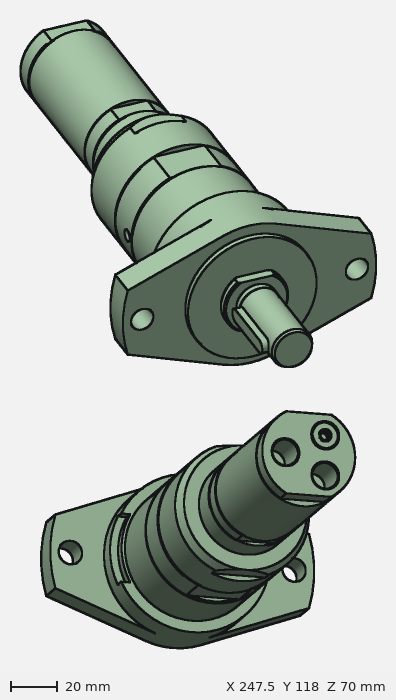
import cadquery as cq
import math


port_collar_end = 9.2
handle_end = 69.3
wrench_neck_end = 78.5
nut_start = 93.3
nut_chamfer_end = 98.3
nut_flats_end = 103.2
clamp_start = 123.5
clamp_end = 141.3
flange_start = 172.3
ear_start = 186.4
flange_end = 200.0
pilot_end = 203.0
lock_ring_end = 207.7
shaft_seat_end = 210.9
shaft_end = 247.5

handle_diameter = 41.5
body_diameter = 60.0
nut_front_diameter = 55.0
flange_diameter = 70.0
lock_ring_diameter = 30.0
shaft_seat_diameter = 19.0
shaft_diameter = 18.8

port_collar_flats = 36.5
wrench_neck_flats = 37.9
body_flats = 55.0
lock_ring_flats = 24.5

bevel_length = 0.7
shallow_bevel_depth = 0.2
body_bevel_depth = 0.7

lock_ring_chamfer = 0.7
shaft_chamfer_length = 1.5
shaft_chamfer_depth = 0.7

ear_span = 118.0
ear_tip_width = 32.7
ear_hole_diameter = 10.5
ear_hole_offset = 50.0

relief_end = 177.5
relief_width = 30.2
relief_floor_diameter = 62.9

port_diameter = 11.5
port_mouth_diameter = 12.4
port_depth = 19.8
open_ports = [(10.5, 0.0), (-7.5, -9.0)]
plugged_port = (-7.5, 9.0)
plug_gap = 0.5
plug_hole_diameter = 5.5
plug_socket_diameter = 3.7
plug_hole_depth = 1.0
plug_socket_depth = 4.0

screw_x = 136.9
screw_hole_diameter = 5.5
screw_socket_diameter = 4.0
screw_hole_depth = 2.0
screw_socket_depth = 5.0

key_start = 210.1
key_end = 242.5
key_width = 6.5
key_top_radius = 12.4


def cylinder(start, end, diameter, y=0.0, z=0.0):
    """Cylinder along X between two stations."""
    return cq.Workplane("YZ", origin=(start, y, z)).circle(diameter / 2).extrude(end - start)


def beveled_cylinder(start, end, diameter, bevel_length, bevel_depth, beveled_face="<X"):
    """Cylinder along X with a bevel around one end."""
    end_circle = cylinder(start, end, diameter).faces(beveled_face)
    return end_circle.chamfer(bevel_length, bevel_depth)


def cut_flats(turned_piece, across_flats):
    """Trim a turned piece to leave flats facing +Z and -Z."""
    slab = cq.Workplane("XY").box(shaft_end, flange_diameter, across_flats, centered=(False, True, True))
    return turned_piece.intersect(slab)


def port_collar():
    collar = beveled_cylinder(
        0, port_collar_end, handle_diameter, bevel_length, shallow_bevel_depth, beveled_face=">X"
    )
    return cut_flats(collar, port_collar_flats)


def handle():
    grip = cylinder(port_collar_end, handle_end, handle_diameter)
    neck = beveled_cylinder(
        handle_end, wrench_neck_end, handle_diameter, shallow_bevel_depth, shallow_bevel_depth
    )
    rear = beveled_cylinder(wrench_neck_end, nut_start, handle_diameter, bevel_length, shallow_bevel_depth)
    return grip.union(cut_flats(neck, wrench_neck_flats)).union(rear)


def clamping_nut():
    nose_length = nut_chamfer_end - nut_start
    nose_depth = (body_diameter - nut_front_diameter) / 2
    nose = beveled_cylinder(nut_start, nut_flats_end, body_diameter, nose_length, nose_depth)
    collar = cylinder(nut_flats_end, clamp_start, body_diameter)
    return cut_flats(nose, body_flats).union(collar)


def body():
    clamp = beveled_cylinder(clamp_start, clamp_end, body_diameter, bevel_length, shallow_bevel_depth)
    barrel = beveled_cylinder(clamp_end, flange_start, body_diameter, bevel_length, body_bevel_depth)
    return cut_flats(clamp, body_flats).union(barrel)


def flange():
    disc = cylinder(flange_start, flange_end, flange_diameter)
    relief = (
        cq.Workplane("XY", origin=(flange_start, 0, 0))
        .box(relief_end - flange_start, flange_diameter, relief_width, centered=(False, False, True))
        .cut(cylinder(flange_start, relief_end, relief_floor_diameter))
    )

    disc_radius = flange_diameter / 2
    tip_radius = ear_span / 2
    corner_z = ear_tip_width / 2
    corner_y = math.sqrt(tip_radius**2 - corner_z**2)
    tangent_angle = math.asin(corner_z / tip_radius) + math.acos(disc_radius / tip_radius)
    tangent_y = disc_radius * math.cos(tangent_angle)
    tangent_z = disc_radius * math.sin(tangent_angle)
    ears = (
        cq.Workplane("YZ", origin=(ear_start, 0, 0))
        .moveTo(corner_y, -corner_z)
        .threePointArc((tip_radius, 0), (corner_y, corner_z))
        .lineTo(tangent_y, tangent_z)
        .lineTo(-tangent_y, tangent_z)
        .lineTo(-corner_y, corner_z)
        .threePointArc((-tip_radius, 0), (-corner_y, -corner_z))
        .lineTo(-tangent_y, -tangent_z)
        .lineTo(tangent_y, -tangent_z)
        .close()
        .extrude(flange_end - ear_start)
    )
    plate = disc.cut(relief).union(ears)
    for side in (-1, 1):
        plate = plate.cut(cylinder(ear_start, flange_end, ear_hole_diameter, y=side * ear_hole_offset))
    return plate


def lock_ring():
    ring = cylinder(pilot_end, lock_ring_end, lock_ring_diameter)
    return cut_flats(ring.faces("<X or >X").chamfer(lock_ring_chamfer), lock_ring_flats)


def shaft():
    seat = cylinder(lock_ring_end, shaft_seat_end, shaft_seat_diameter)
    journal = beveled_cylinder(
        shaft_seat_end, shaft_end, shaft_diameter, shaft_chamfer_length, shaft_chamfer_depth, ">X"
    )
    key_length = key_end - key_start
    key = (
        cq.Workplane("XZ", origin=((key_start + key_end) / 2, 0, 0))
        .slot2D(key_length, key_width)
        .extrude(key_top_radius)
    )
    return seat.union(journal).union(key)


def open_port(y, z):
    bore = cylinder(0, port_depth, port_diameter, y, z)
    mouth_depth = (port_mouth_diameter - port_diameter) / 2
    mouth = (
        cq.Workplane("YZ", origin=(0, y, z))
        .circle(port_mouth_diameter / 2)
        .workplane(offset=mouth_depth)
        .circle(port_diameter / 2)
        .loft()
    )
    return bore.union(mouth)


def plugged_port_cut(y, z):
    outer = cylinder(0, plug_gap, port_mouth_diameter, y, z)
    plug = cylinder(0, plug_gap, port_mouth_diameter - 2 * plug_gap, y, z)
    hole = cylinder(0, plug_hole_depth, plug_hole_diameter, y, z)
    socket = cylinder(0, plug_socket_depth, plug_socket_diameter, y, z)
    return outer.cut(plug).union(hole).union(socket)


def set_screw_hole():
    surface = cq.Workplane("XZ", origin=(screw_x, -body_diameter / 2, 0))
    hole = surface.circle(screw_hole_diameter / 2).extrude(-screw_hole_depth)
    socket = surface.circle(screw_socket_diameter / 2).extrude(-screw_socket_depth)
    return hole.union(socket)


result = (
    port_collar()
    .union(handle())
    .union(clamping_nut())
    .union(body())
    .union(flange())
    .union(cylinder(flange_end, pilot_end, body_diameter))
    .union(lock_ring())
    .union(shaft())
)

for y, z in open_ports:
    result = result.cut(open_port(y, z))
result = result.cut(plugged_port_cut(*plugged_port))
result = result.cut(set_screw_hole())